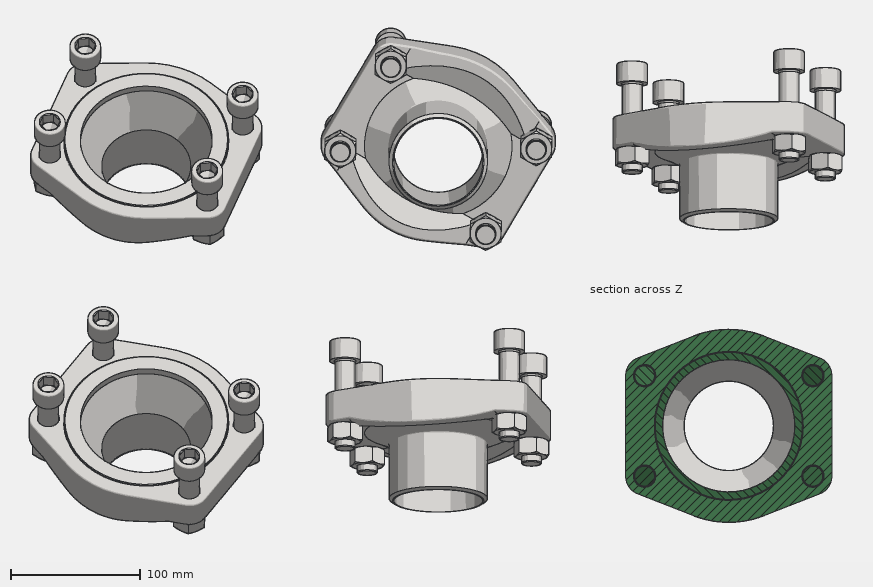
import cadquery as cq
import math


FLANGE_WIDTH = 160.0
LOBE_RADIUS = 149.6 / 2
CORNER_RADIUS = 14.9
BOLT_X = FLANGE_WIDTH / 2 - CORNER_RADIUS
BOLT_Y = 38.9
BOLT_HOLE_DIAMETER = 17.0
SEAT_Z = -25.0
LOBE_BOTTOM_Z = -35.0
LOBE_HALF_LENGTH = 57.6
ARCH_OVERRUN = 6.4
EDGE_FILLET = 2.0

TROUGH_HALF_MOUTH = 65.6
TROUGH_HALF_FLOOR = 36.8

PIPE_RADIUS = 76.2 / 2
HUB_TOP_RADIUS = 114.2 / 2
HUB_BOTTOM_Z = -33.6
HUB_FILLET = 1.1
PIPE_BOTTOM_Z = -79.0
PIPE_BEVEL_WIDTH = 2.7
PIPE_BEVEL_HEIGHT = 1.8

BORE_RADIUS = 69.0 / 2
MOUTH_RADIUS = 102.0 / 2
BORE_CONE_HALF_ANGLE = 30.0

SEAL_LIP_DIAMETER = 127.0
SEAL_BODY_DIAMETER = 114.2
SEAL_CLEARANCE = 0.8
SEAL_HEIGHT = 6.2
SEAL_PROTRUSION = 0.8
SEAL_LIP_HEIGHT = 3.2
SEAL_CHAMFER = 0.6

SHANK_RADIUS = 15.7 / 2
HEAD_RADIUS = 24.0 / 2
HEAD_HEIGHT = 16.0
HEAD_FILLET = 1.5
HEAD_TOP_Z = 42.5
HEAD_BOTTOM_Z = HEAD_TOP_Z - HEAD_HEIGHT
NECK_RADIUS = 17.0 / 2
NECK_HEIGHT = 1.5
BOLT_TIP_Z = -43.5
TIP_RADIUS = 14.4 / 2
TIP_CHAMFER_HEIGHT = 0.8
SOCKET_FLATS = 14.0
SOCKET_DEPTH = 10.4
SOCKET_RIM_ANGLE = 30.0
SOCKET_FLOOR_HALF_ANGLE = 60.0

NUT_FLATS = 24.0
NUT_HEIGHT = 13.0
NUT_CHAMFER_ANGLE = 30.0

COS_30 = math.cos(math.radians(30))
BOLT_POSITIONS = [(sx * BOLT_X, sy * BOLT_Y) for sx in (-1, 1) for sy in (-1, 1)]


def revolved(points):
    """Turn a closed outline of (radius, height) points about the Z axis."""
    return cq.Workplane("XZ").polyline(points).close().revolve(360, (0, 0, 0), (0, 1, 0))


def outline_prism(bottom_z):
    """Plan of the flange: lobe arcs and corner arcs joined by tangent lines, from Z = 0 down."""
    corner_distance = math.hypot(BOLT_X, BOLT_Y)
    tangent_angle = math.atan2(BOLT_X, BOLT_Y) - math.acos((LOBE_RADIUS - CORNER_RADIUS) / corner_distance)

    def on_lobe(angle):
        return (LOBE_RADIUS * math.sin(angle), LOBE_RADIUS * math.cos(angle))

    def on_corner(angle):
        return (BOLT_X + CORNER_RADIUS * math.sin(angle), BOLT_Y + CORNER_RADIUS * math.cos(angle))

    def mirrored(point, sx, sy):
        return (sx * point[0], sy * point[1])

    lobe_end = on_lobe(tangent_angle)
    corner_start = on_corner(tangent_angle)
    corner_middle = on_corner((tangent_angle + math.pi / 2) / 2)
    corner_end = on_corner(math.pi / 2)
    return (
        cq.Workplane("XY")
        .moveTo(*mirrored(lobe_end, -1, 1))
        .threePointArc((0, LOBE_RADIUS), lobe_end)
        .lineTo(*corner_start)
        .threePointArc(corner_middle, corner_end)
        .lineTo(*mirrored(corner_end, 1, -1))
        .threePointArc(mirrored(corner_middle, 1, -1), mirrored(corner_start, 1, -1))
        .lineTo(*mirrored(lobe_end, 1, -1))
        .threePointArc((0, -LOBE_RADIUS), mirrored(lobe_end, -1, -1))
        .lineTo(*mirrored(corner_start, -1, -1))
        .threePointArc(mirrored(corner_middle, -1, -1), mirrored(corner_end, -1, -1))
        .lineTo(*mirrored(corner_end, -1, 1))
        .threePointArc(mirrored(corner_middle, -1, 1), mirrored(corner_start, -1, 1))
        .close()
        .extrude(bottom_z)
    )


def seat_plate():
    """Flat plate with both rims rounded; its underside carries the nuts."""
    return outline_prism(SEAT_Z).faces("<Z or >Z").edges().fillet(EDGE_FILLET)


def lobe_block():
    """Block with an arched underside that hangs below the seat plate along its middle."""
    sag = SEAT_Z - LOBE_BOTTOM_Z
    arch_radius = (LOBE_HALF_LENGTH**2 + sag**2) / (2 * sag)
    half_length = LOBE_HALF_LENGTH + ARCH_OVERRUN
    end_z = LOBE_BOTTOM_Z + arch_radius - math.sqrt(arch_radius**2 - half_length**2)
    arched_block = (
        cq.Workplane("XZ")
        .moveTo(-half_length, -EDGE_FILLET)
        .lineTo(-half_length, end_z)
        .threePointArc((0, LOBE_BOTTOM_Z), (half_length, end_z))
        .lineTo(half_length, -EDGE_FILLET)
        .close()
        .extrude(FLANGE_WIDTH, both=True)
    )
    block = outline_prism(LOBE_BOTTOM_Z).intersect(arched_block)
    lower_rims = block.faces("<Z").edges("not |Y")
    return lower_rims.fillet(EDGE_FILLET)


def lobe_trough():
    """Trough along X that parts the two lobes and slopes their inner sides."""
    return (
        cq.Workplane("YZ")
        .moveTo(-TROUGH_HALF_MOUTH, LOBE_BOTTOM_Z)
        .lineTo(-TROUGH_HALF_FLOOR, SEAT_Z)
        .lineTo(TROUGH_HALF_FLOOR, SEAT_Z)
        .lineTo(TROUGH_HALF_MOUTH, LOBE_BOTTOM_Z)
        .close()
        .extrude(FLANGE_WIDTH, both=True)
    )


def hub_and_pipe():
    stub = revolved([
        (0, SEAT_Z),
        (HUB_TOP_RADIUS, SEAT_Z),
        (PIPE_RADIUS, HUB_BOTTOM_Z),
        (PIPE_RADIUS, PIPE_BOTTOM_Z + PIPE_BEVEL_HEIGHT),
        (PIPE_RADIUS - PIPE_BEVEL_WIDTH, PIPE_BOTTOM_Z),
        (0, PIPE_BOTTOM_Z),
    ])
    hub_foot = cq.selectors.NearestToPointSelector((0, 0, HUB_BOTTOM_Z))
    return stub.edges(hub_foot).fillet(HUB_FILLET)


def bore_and_groove():
    """Space inside the flange: seal groove, conical mouth and straight bore."""
    groove_radius = (SEAL_LIP_DIAMETER + SEAL_CLEARANCE) / 2
    lower_groove_radius = (SEAL_BODY_DIAMETER + SEAL_CLEARANCE) / 2
    lip_bottom_z = SEAL_PROTRUSION - SEAL_LIP_HEIGHT
    groove_bottom_z = SEAL_PROTRUSION - SEAL_HEIGHT
    cone_height = (MOUTH_RADIUS - BORE_RADIUS) / math.tan(math.radians(BORE_CONE_HALF_ANGLE))
    return revolved([
        (0, 0),
        (groove_radius, 0),
        (groove_radius, lip_bottom_z),
        (lower_groove_radius, lip_bottom_z),
        (lower_groove_radius, groove_bottom_z),
        (MOUTH_RADIUS, groove_bottom_z),
        (BORE_RADIUS, groove_bottom_z - cone_height),
        (BORE_RADIUS, PIPE_BOTTOM_Z),
        (0, PIPE_BOTTOM_Z),
    ])


def make_flange():
    bolt_holes = (
        cq.Workplane("XY").pushPoints(BOLT_POSITIONS).circle(BOLT_HOLE_DIAMETER / 2).extrude(LOBE_BOTTOM_Z)
    )
    return (
        seat_plate()
        .union(lobe_block())
        .cut(lobe_trough())
        .union(hub_and_pipe())
        .cut(bore_and_groove())
        .cut(bolt_holes)
    )


def make_seal_ring():
    lip_bottom_z = SEAL_PROTRUSION - SEAL_LIP_HEIGHT
    bottom_z = SEAL_PROTRUSION - SEAL_HEIGHT
    return revolved([
        (MOUTH_RADIUS, SEAL_PROTRUSION),
        (SEAL_LIP_DIAMETER / 2 - SEAL_CHAMFER, SEAL_PROTRUSION),
        (SEAL_LIP_DIAMETER / 2, SEAL_PROTRUSION - SEAL_CHAMFER),
        (SEAL_LIP_DIAMETER / 2, lip_bottom_z),
        (SEAL_BODY_DIAMETER / 2, lip_bottom_z),
        (SEAL_BODY_DIAMETER / 2, bottom_z),
        (MOUTH_RADIUS, bottom_z),
    ])


def bolt_socket():
    """Hexagon socket with a chamfered mouth and a conical floor."""
    corner_radius = SOCKET_FLATS / 2 / COS_30
    floor_z = HEAD_TOP_Z - SOCKET_DEPTH
    floor_radius = SOCKET_FLATS / 2
    cone_depth = floor_radius / math.tan(math.radians(SOCKET_FLOOR_HALF_ANGLE))
    rim_depth = (corner_radius - floor_radius) * math.tan(math.radians(SOCKET_RIM_ANGLE))
    hexagon = (
        cq.Workplane("XY", origin=(0, 0, floor_z))
        .transformed(rotate=(0, 0, 30))
        .polygon(6, 2 * corner_radius)
        .extrude(SOCKET_DEPTH)
    )
    floor_cone = revolved([(0, floor_z), (floor_radius, floor_z), (0, floor_z - cone_depth)])
    rim_chamfer = revolved([
        (0, HEAD_TOP_Z),
        (corner_radius, HEAD_TOP_Z),
        (floor_radius, HEAD_TOP_Z - rim_depth),
        (0, HEAD_TOP_Z - rim_depth),
    ])
    return hexagon.union(floor_cone).union(rim_chamfer)


def make_bolt(x, y):
    blank = revolved([
        (0, HEAD_TOP_Z),
        (HEAD_RADIUS, HEAD_TOP_Z),
        (HEAD_RADIUS, HEAD_BOTTOM_Z),
        (NECK_RADIUS, HEAD_BOTTOM_Z),
        (SHANK_RADIUS, HEAD_BOTTOM_Z - NECK_HEIGHT),
        (SHANK_RADIUS, BOLT_TIP_Z + TIP_CHAMFER_HEIGHT),
        (TIP_RADIUS, BOLT_TIP_Z),
        (0, BOLT_TIP_Z),
    ])
    bolt = blank.faces(">Z").edges().fillet(HEAD_FILLET).cut(bolt_socket())
    return bolt.translate((x, y, 0))


def make_nut(x, y):
    corner_radius = NUT_FLATS / 2 / COS_30
    chamfer_height = (corner_radius - NUT_FLATS / 2) * math.tan(math.radians(NUT_CHAMFER_ANGLE))
    bottom_z = SEAT_Z - NUT_HEIGHT
    prism = cq.Workplane("XY", origin=(0, 0, bottom_z)).polygon(6, 2 * corner_radius).extrude(NUT_HEIGHT)
    envelope = revolved([
        (SHANK_RADIUS, SEAT_Z),
        (NUT_FLATS / 2, SEAT_Z),
        (corner_radius, SEAT_Z - chamfer_height),
        (corner_radius, bottom_z + chamfer_height),
        (NUT_FLATS / 2, bottom_z),
        (SHANK_RADIUS, bottom_z),
    ])
    return prism.intersect(envelope).translate((x, y, 0))


flange = make_flange()
seal_ring = make_seal_ring()
bolts = [make_bolt(x, y) for x, y in BOLT_POSITIONS]
nuts = [make_nut(x, y) for x, y in BOLT_POSITIONS]

result = cq.Compound.makeCompound([
    flange.val(),
    seal_ring.val(),
    *[bolt.val() for bolt in bolts],
    *[nut.val() for nut in nuts],
])